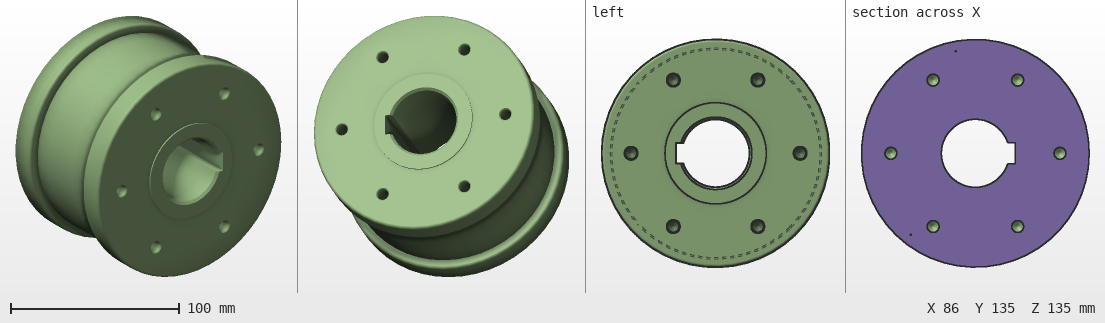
import cadquery as cq
import math

outer_diameter = 135.0
overall_width = 86.0
hub_diameter = 60.0
hub_step = 1.0
flange_width = 15.7
flange_fillet = 1.8
drum_diameter = 125.0
drum_fillet = 1.9
drum_overlap = 0.3

bore_diameter = 40.0
bore_chamfer = 1.5
keyway_width = 12.0
keyway_reach = 23.4

bolt_count = 6
bolt_circle_diameter = 100.0
bolt_hole_diameter = 6.8
bolt_countersink_diameter = 8.0
bolt_hole_depth = 20.0
drill_point_angle = 118.0

body_width = overall_width - 2 * hub_step
drum_width = body_width - 2 * (flange_width - drum_overlap)
end_x = overall_width / 2
face_x = body_width / 2


def disc(diameter, width, start_x):
    """Cylinder along +X that starts at start_x."""
    return cq.Workplane("YZ", origin=(start_x, 0, 0)).circle(diameter / 2).extrude(width)


def make_flange(start_x):
    """Rim with both of its outer edges rounded."""
    return disc(outer_diameter, flange_width, start_x).edges().fillet(flange_fillet)


def make_body():
    """Hub, drum with rounded ends and the two flanges."""
    hub = disc(hub_diameter, overall_width, -end_x)
    drum = disc(drum_diameter, drum_width, -drum_width / 2).edges().fillet(drum_fillet)
    return hub.union(drum).union(make_flange(-face_x)).union(make_flange(face_x - flange_width))


def make_bore():
    """Through bore, chamfered at both ends, with its keyway on the +Y side."""
    bore_radius = bore_diameter / 2
    mouth_radius = bore_radius + bore_chamfer
    bore_profile = [
        (-end_x, 0),
        (-end_x, mouth_radius),
        (-end_x + bore_chamfer, bore_radius),
        (end_x - bore_chamfer, bore_radius),
        (end_x, mouth_radius),
        (end_x, 0),
    ]
    bore = cq.Workplane("XY").polyline(bore_profile).close().revolve(360, (0, 0, 0), (1, 0, 0))
    keyway = cq.Workplane("XY").box(
        overall_width, keyway_reach, keyway_width, centered=(True, False, True)
    )
    return bore.union(keyway)


def make_bolt_hole():
    """Blind hole entering the -X flange face on the axis, countersunk, with a drill point."""
    radius = bolt_hole_diameter / 2
    mouth_radius = bolt_countersink_diameter / 2
    countersink_depth = mouth_radius - radius
    point_depth = radius / math.tan(math.radians(drill_point_angle / 2))
    hole_profile = [
        (-face_x, 0),
        (-face_x, mouth_radius),
        (-face_x + countersink_depth, radius),
        (-face_x + bolt_hole_depth, radius),
        (-face_x + bolt_hole_depth + point_depth, 0),
    ]
    return cq.Workplane("XY").polyline(hole_profile).close().revolve(360, (0, 0, 0), (1, 0, 0))


result = make_body().cut(make_bore())

bolt_hole = make_bolt_hole().translate((0, bolt_circle_diameter / 2, 0))
for index in range(bolt_count):
    hole = bolt_hole.rotate((0, 0, 0), (1, 0, 0), index * 360 / bolt_count)
    result = result.cut(hole).cut(hole.mirror("YZ"))